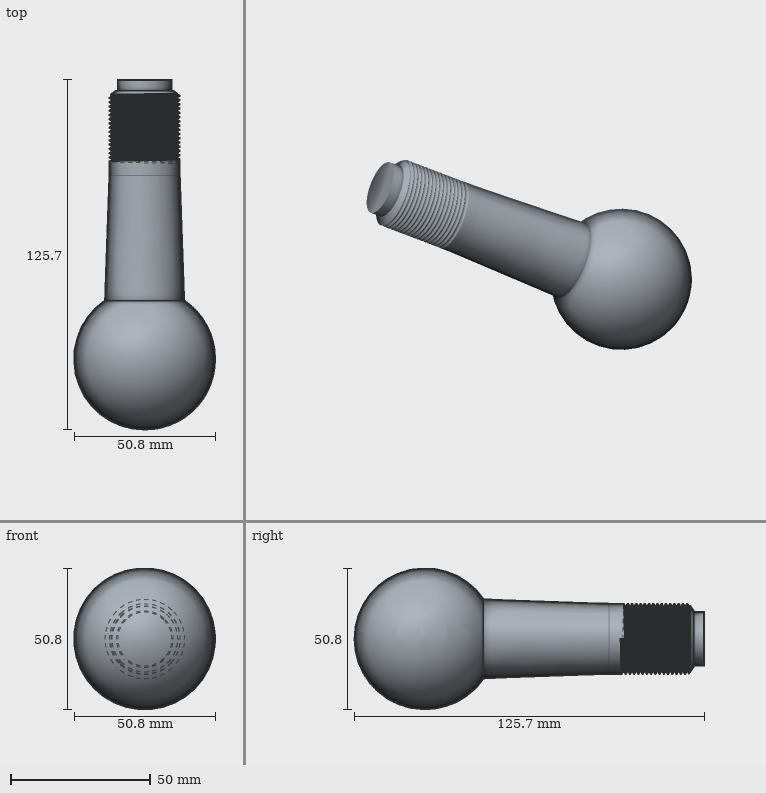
import cadquery as cq
import math

INCH = 25.4

ball_radius = 1.0 * INCH
neck_radius_at_ball = 0.5625 * INCH
neck_end_y = 2.6 * INCH

thread_radius = 0.5 * INCH
thread_start_y = 2.795 * INCH
thread_end_y = 3.8 * INCH
thread_chamfer_length = 0.07 * INCH
thread_chamfer_drop = 0.1 * INCH
pin_radius = 0.3825 * INCH
pin_end_y = 3.95 * INCH

pitch = 0.06 * INCH
crest_width = 0.04
thread_depth = 0.9
flank_angle = math.radians(30)
run_out_turns = 2
groove_overcut = 0.15

neck_start_y = math.sqrt(ball_radius**2 - neck_radius_at_ball**2)


def make_body():
    """Ball, neck, unthreaded shank and pin, revolved about the Y axis."""
    profile = (
        cq.Workplane("XY")
        .moveTo(0, -ball_radius)
        .threePointArc((ball_radius, 0), (neck_radius_at_ball, neck_start_y))
        .lineTo(thread_radius, neck_end_y)
        .lineTo(thread_radius, thread_end_y - thread_chamfer_length)
        .lineTo(thread_radius - thread_chamfer_drop, thread_end_y)
        .lineTo(pin_radius, thread_end_y)
        .lineTo(pin_radius, pin_end_y)
        .lineTo(0, pin_end_y)
        .close()
    )
    return profile.revolve(360, (0, 0, 0), (0, 1, 0))


def make_thread_groove():
    """Helical cutter for the thread, starting at +X and rising along +Y."""
    turns = math.ceil((thread_end_y - thread_start_y) / pitch) + run_out_turns
    helix = cq.Wire.makeHelix(pitch, turns * pitch, thread_radius)

    root_radius = thread_radius - thread_depth
    outer_radius = thread_radius + groove_overcut
    mouth_half_width = (pitch - crest_width) / 2
    root_half_width = mouth_half_width - thread_depth * math.tan(flank_angle)
    groove = (
        cq.Workplane("XZ")
        .moveTo(root_radius, root_half_width)
        .lineTo(thread_radius, mouth_half_width)
        .lineTo(outer_radius, mouth_half_width)
        .lineTo(outer_radius, -mouth_half_width)
        .lineTo(thread_radius, -mouth_half_width)
        .lineTo(root_radius, -root_half_width)
        .close()
        .sweep(cq.Workplane(helix), isFrenet=True)
    )
    return groove.rotate((0, 0, 0), (1, 0, 0), -90).translate((0, thread_start_y, 0))


result = make_body().cut(make_thread_groove())